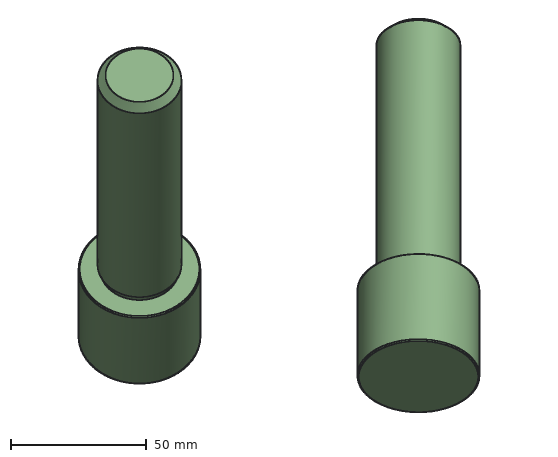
import cadquery as cq

total_length = 155.0
head_diameter = 45.0
head_height = 40.0
head_chamfer = 0.5
neck_diameter = 29.0
neck_height = 3.0
shank_diameter = 31.0
tip_chamfer = 3.0


def make_head():
    """Cylindrical head with both rims broken by a small chamfer."""
    head = cq.Workplane("XY").circle(head_diameter / 2).extrude(head_height)
    return head.faces("<Z or >Z").chamfer(head_chamfer)


def make_neck():
    """Relief neck of reduced diameter between head and shank."""
    return cq.Workplane("XY").workplane(offset=head_height).circle(neck_diameter / 2).extrude(neck_height)


def make_shank():
    """Long round shank with a chamfered tip."""
    shank_base = head_height + neck_height
    shank_length = total_length - shank_base
    shank = cq.Workplane("XY").workplane(offset=shank_base).circle(shank_diameter / 2).extrude(shank_length)
    return shank.faces(">Z").chamfer(tip_chamfer)


result = make_head().union(make_neck()).union(make_shank())